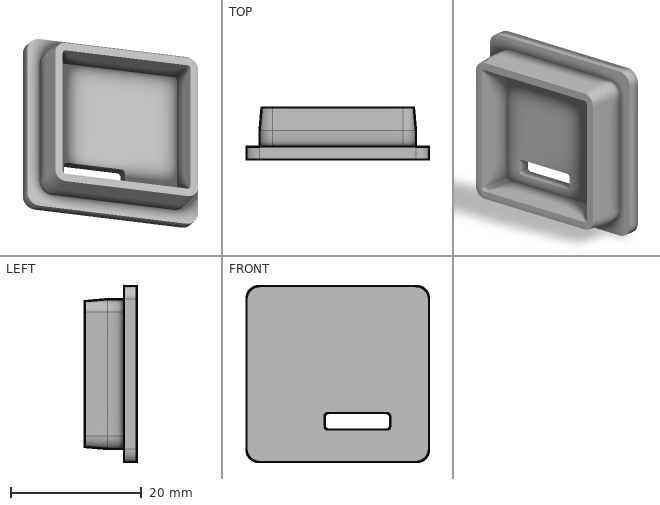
import cadquery as cq

plate_width = 28.0
plate_height = 27.0
plate_thickness = 2.0
corner_radius = 2.0

total_depth = 8.0
plug_width = 24.0
plug_height = plate_height - (plate_width - plug_width)
straight_length = 2.5
taper_length = total_depth - plate_thickness - straight_length
taper_angle = 5.0
wall = 1.5

slot_width = 10.0
slot_height = 2.5
slot_radius = 0.5
slot_left = 12.0
slot_bottom = 5.0


def rounded_block(width, height, radius, start, depth):
    """Block along +Y from y = start, with its four long edges rounded."""
    block = cq.Workplane("XZ", origin=(0, start, 0)).rect(width, height).extrude(-depth)
    return block.edges("|Y").fillet(radius)


def tapered_end(start):
    """Narrowing end of the plug, whose corner radii shrink with the taper."""
    outline = cq.Sketch().rect(plug_width, plug_height).vertices().fillet(corner_radius)
    plane = cq.Workplane("XZ", origin=(0, start, 0))
    return plane.placeSketch(outline).extrude(-taper_length, taper=taper_angle)


plate = rounded_block(plate_width, plate_height, corner_radius, 0, plate_thickness)
plug = rounded_block(plug_width, plug_height, corner_radius, plate_thickness, straight_length)
lead_in = tapered_end(plate_thickness + straight_length)

cavity = rounded_block(
    plug_width - 2 * wall,
    plug_height - 2 * wall,
    corner_radius - wall,
    plate_thickness,
    total_depth - plate_thickness,
)

slot_x = -plate_width / 2 + slot_left + slot_width / 2
slot_z = -plate_height / 2 + slot_bottom + slot_height / 2
slot = rounded_block(slot_width, slot_height, slot_radius, 0, plate_thickness)
slot = slot.translate((slot_x, 0, slot_z))

result = plate.union(plug).union(lead_in).cut(cavity).cut(slot)